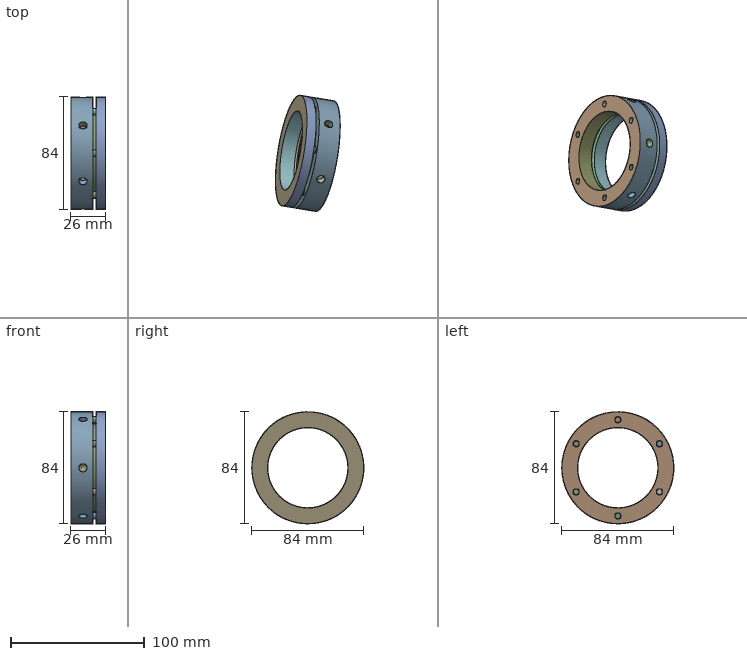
import cadquery as cq
import math

OUTER_DIAMETER = 84.0
BORE_DIAMETER = 60.0
LENGTH = 26.0
FULL_TURN = 360.0

SLOT_WIDTH = 2.5
SLOT_X = 16.4
SLOT_FLOOR_DIAMETER = 66.0
GROOVE_WIDTH = 2.5
GROOVE_X = 12.4
GROOVE_FLOOR_DIAMETER = 67.2

STATION_COUNT = 6
STATION_ANGLE = FULL_TURN / STATION_COUNT
PIN_CIRCLE_DIAMETER = 72.0
PIN_DIAMETER = 5.0
AXIAL_HOLE_DIAMETER = 4.2

RADIAL_HOLE_DIAMETER = 6.05
RADIAL_HOLE_DEPTH = 6.5
RADIAL_HOLE_X = 9.0
DRILL_TIP_ANGLE = 118.0


def tube(x_start, length, outer_diameter, inner_diameter):
    """Plain tube along X."""
    return (
        cq.Workplane("YZ", origin=(x_start, 0, 0))
        .circle(outer_diameter / 2)
        .circle(inner_diameter / 2)
        .extrude(length)
    )


def station_cylinder(index, x_start, length, diameter):
    """Axial cylinder at one station of the pin circle, the first one at the top."""
    return (
        cq.Workplane("YZ", origin=(x_start, 0, 0))
        .center(0, PIN_CIRCLE_DIAMETER / 2)
        .circle(diameter / 2)
        .extrude(length)
        .rotate((0, 0, 0), (1, 0, 0), index * STATION_ANGLE)
    )


def radial_drill(index):
    """Drill shape that enters from the rim, the first one from -Y."""
    radius = RADIAL_HOLE_DIAMETER / 2
    tip_length = radius / math.tan(math.radians(DRILL_TIP_ANGLE / 2))
    rim_y = -OUTER_DIAMETER / 2
    shoulder_y = rim_y + RADIAL_HOLE_DEPTH
    return (
        cq.Workplane("XY", origin=(RADIAL_HOLE_X, 0, 0))
        .moveTo(0, rim_y)
        .lineTo(radius, rim_y)
        .lineTo(radius, shoulder_y)
        .lineTo(0, shoulder_y + tip_length)
        .close()
        .revolve(FULL_TURN, (0, 0), (0, 1))
        .rotate((0, 0, 0), (1, 0, 0), index * STATION_ANGLE)
    )


def make_ring():
    """Ring with its rim slot, bore groove, axial holes and radial holes."""
    ring = tube(0, LENGTH, OUTER_DIAMETER, BORE_DIAMETER)
    ring = ring.cut(tube(SLOT_X, SLOT_WIDTH, OUTER_DIAMETER, SLOT_FLOOR_DIAMETER))
    ring = ring.cut(tube(GROOVE_X, GROOVE_WIDTH, GROOVE_FLOOR_DIAMETER, BORE_DIAMETER))
    for index in range(STATION_COUNT):
        ring = ring.cut(station_cylinder(index, 0, SLOT_X, AXIAL_HOLE_DIAMETER))
        ring = ring.cut(radial_drill(index))
    return ring


def make_pin(index):
    """Pin that spans the rim slot."""
    return station_cylinder(index, SLOT_X, SLOT_WIDTH, PIN_DIAMETER)


ring = make_ring()
pins = [make_pin(index) for index in range(STATION_COUNT)]

result = cq.Compound.makeCompound([ring.val(), *[pin.val() for pin in pins]])